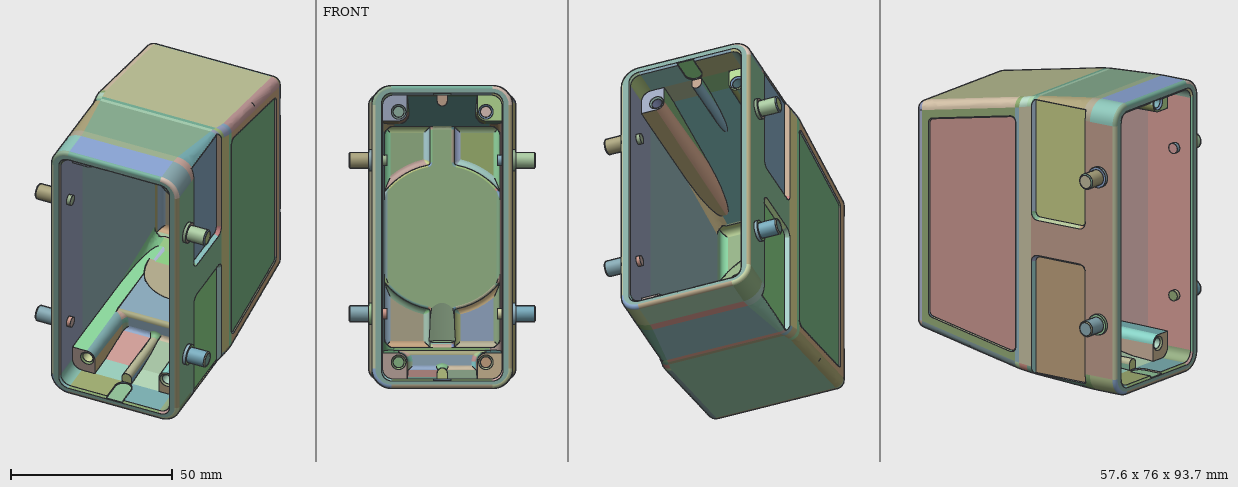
import cadquery as cq
import math

depth = 76.0
rim_half_width = 21.7
rim_half_height = 46.85
rim_corner = 6.1
rim_round = 1.1

skirt_end = 11.15
shoulder = 32.2
shoulder_half_height = 44.7
back_half_height = 36.2
back_half_width = 22.8
flare_end = 36.9
back_corner = 2.8
bend = 1.4
flare_bend = 0.75

lead_in = 0.7
cavity_half_width = 18.5
cavity_half_height = 43.85
cavity_back_half_width = 17.9
cavity_corner = 3.3
knee_y = 16.9
knee_half_height = 43.4
floor_y = 70.65
floor_round = 1.1

pocket_floor_y = 73.5
pocket_half_height = 34.1
pocket_round = 2.0
pad_radius = 22.7
pad_edge_round = 0.75
pad_half_width = cavity_back_half_width - floor_round
channel_half_width = 3.75
channel_low_z = -35.1
channel_top_z = -22.0
groove_radius = 15.0

boss_face_y = 9.4
boss_inner_x = 10.9
boss_inner_z = 35.9
boss_corner = 2.6
boss_draft = 1.0
screw_x = 13.5
screw_z = 38.7
screw_radius = 1.7
screw_mouth_radius = 2.25
screw_depth = 14.1
key_half_width = 1.6
key_tip_z = 40.5
relief_half_width = 2.7
relief_bottom_z = 44.3
ledge_face_y = 30.9
ledge_round = 1.4

pin_y = 6.4
pin_z = 23.7
pin_radius = 2.48
pin_end_x = 28.81
pin_chamfer = 0.4
collar_radius = 3.3
collar_end_x = back_half_width
stub_radius = 1.64
stub_end_x = 17.15

recess_depth = 1.4
recess_start_y = 11.6
recess_inner_z = 5.6
recess_outer_z = 44.7
recess_corner = 2.4
recess_draft = 30.0
panel_depth = 0.4
panel_start_y = 37.4
panel_end_y = 70.8
panel_margin = 5.3
panel_draft = 45.0
panel_corner = 1.9

edge_slack = 0.1

skirt_slope = (shoulder_half_height - rim_half_height) / (shoulder - skirt_end)
back_slope = (back_half_height - shoulder_half_height) / (depth - shoulder)
flare_slope = (back_half_width - rim_half_width) / (flare_end - shoulder)


def bent(y, bend_y, slope_change, half_length):
    """Offset from a straight line after a parabolic bend centred on bend_y."""
    past = y - bend_y
    if abs(past) < half_length:
        return slope_change * (past + half_length) ** 2 / (4 * half_length)
    return slope_change * max(past, 0)


def half_height(y):
    skirt_bend = bent(y, skirt_end, skirt_slope, bend)
    shoulder_bend = bent(y, shoulder, back_slope - skirt_slope, bend)
    return rim_half_height + skirt_bend + shoulder_bend


def half_width(y):
    flare = flare_slope * max(y - shoulder, 0)
    return rim_half_width + flare + bent(y, flare_end, -flare_slope, flare_bend)


def corner_radius(y):
    along = (y - skirt_end) / (shoulder - skirt_end)
    return rim_corner + (back_corner - rim_corner) * min(max(along, 0), 1)


def section(y, half_x, half_z, radius):
    outline = cq.Sketch().rect(2 * half_x, 2 * half_z).vertices().fillet(radius)
    return outline.moved(cq.Location(cq.Vector(0, 0, -y)))


def loft_sections(sections):
    return cq.Workplane("XZ").placeSketch(*sections).loft(ruled=True)


def xz_plane(y):
    return cq.Workplane("XZ", origin=(0, y, 0))


def mirrored_x(shape):
    return shape.union(shape.mirror("YZ"))


def mirrored_z(shape):
    return shape.union(shape.mirror("XY"))


def edges_at(y, half_x, low_z, high_z):
    """Selector for the edges lying at depth y, within half_x of the middle and between two heights."""
    low = (-half_x, y - edge_slack, low_z)
    high = (half_x, y + edge_slack, high_z)
    return cq.selectors.BoxSelector(low, high)


def make_shell():
    stations = [
        0,
        skirt_end - bend,
        skirt_end + bend,
        shoulder - bend,
        shoulder,
        shoulder + bend,
        flare_end - flare_bend,
        flare_end + flare_bend,
        depth,
    ]
    shell = loft_sections([section(y, half_width(y), half_height(y), corner_radius(y)) for y in stations])
    shell = shell.faces(">Y").edges().fillet(back_corner)
    return shell.faces("<Y").edges().fillet(rim_round)


def make_cavity():
    sections = [
        section(0, cavity_half_width + lead_in / 2, cavity_half_height + lead_in, cavity_corner),
        section(lead_in, cavity_half_width, cavity_half_height, cavity_corner),
        section(boss_face_y, cavity_half_width, cavity_half_height, cavity_corner),
        section(knee_y, cavity_half_width, knee_half_height, cavity_corner),
        section(floor_y, cavity_back_half_width, pocket_half_height, cavity_corner),
    ]
    cavity = loft_sections(sections)
    return cavity.faces(">Y").edges("|Z").fillet(floor_round)


def make_pocket():
    """One deep corner pocket of the floor, bounded by the round pad and the channel."""
    x_in = channel_half_width
    x_out = cavity_back_half_width
    z_in = math.sqrt(pad_radius**2 - x_in**2)
    z_out = math.sqrt(pad_radius**2 - x_out**2)
    mid = math.atan2(z_in + z_out, x_in + x_out)
    height = pocket_floor_y - floor_y + floor_round
    pocket = (
        xz_plane(pocket_floor_y)
        .moveTo(x_in, pocket_half_height)
        .lineTo(x_out, pocket_half_height)
        .lineTo(x_out, z_out)
        .threePointArc((pad_radius * math.cos(mid), pad_radius * math.sin(mid)), (x_in, z_in))
        .close()
        .extrude(height)
    )
    crest = cq.selectors.NearestToPointSelector((x_in, pocket_floor_y, z_in))
    pocket = pocket.edges("|Y").edges(crest).fillet(pad_edge_round)
    return pocket.faces(">Y").edges().fillet(pocket_round)


def make_groove():
    """Sloping round groove that sinks from the pad to the lower wall."""
    rise = channel_top_z - channel_low_z
    drop = pocket_floor_y - floor_y
    length = math.hypot(rise, drop)
    axis = cq.Vector(0, -drop / length, rise / length)
    start = cq.Vector(0, pocket_floor_y - groove_radius, channel_low_z)
    return cq.Workplane(obj=cq.Solid.makeCylinder(groove_radius, length, start, axis))


def make_boss():
    reach = 37.5
    boss = (
        xz_plane(boss_face_y)
        .center(boss_inner_x + reach / 2, boss_inner_z + reach / 2)
        .sketch()
        .rect(reach, reach)
        .vertices()
        .fillet(boss_corner)
        .finalize()
        .extrude(-(pocket_floor_y - boss_face_y), taper=-boss_draft)
    )
    return boss


def make_key():
    tip_centre = key_tip_z + key_half_width
    length = floor_y - boss_face_y
    web = xz_plane(boss_face_y).center(0, tip_centre + rim_corner / 2)
    web = web.rect(2 * key_half_width, rim_corner).extrude(-length)
    tip = xz_plane(boss_face_y).center(0, tip_centre).circle(key_half_width).extrude(-length)
    return web.union(tip)


def make_ledge():
    """Step on the lower wall between the bosses."""
    ledge = cq.Workplane("XY").box(
        2 * screw_x,
        floor_y - ledge_face_y,
        rim_half_height + channel_low_z,
        centered=(True, False, False),
    )
    ledge = ledge.edges("<Y and >Z").fillet(ledge_round)
    return ledge.translate((0, ledge_face_y, -rim_half_height))


def make_relief():
    """Shallow round-ended notch in the end wall, from the rim to the key."""
    length = boss_face_y - relief_half_width
    depth_z = relief_bottom_z - key_tip_z
    plane = cq.Workplane("XY", origin=(0, 0, key_tip_z))
    slot = plane.rect(2 * relief_half_width, 2 * length).extrude(depth_z)
    return slot.union(plane.center(0, length).circle(relief_half_width).extrude(depth_z))


def make_pin():
    plane = cq.Workplane("YZ", origin=(stub_end_x, pin_y, pin_z))
    stub = plane.circle(stub_radius).extrude(rim_half_width - stub_end_x)
    plane = cq.Workplane("YZ", origin=(rim_half_width - recess_depth, pin_y, pin_z))
    collar = plane.circle(collar_radius).extrude(collar_end_x - rim_half_width + recess_depth)
    pin = plane.circle(pin_radius).extrude(pin_end_x - rim_half_width + recess_depth)
    pin = pin.faces(">X").chamfer(pin_chamfer)
    return pin.union(collar).union(stub)


def make_screw_hole():
    hole = xz_plane(boss_face_y).center(screw_x, screw_z).circle(screw_radius).extrude(-screw_depth)
    mouth = cq.Solid.makeCone(
        screw_mouth_radius,
        screw_radius,
        screw_mouth_radius - screw_radius,
        cq.Vector(screw_x, boss_face_y, screw_z),
        cq.Vector(0, 1, 0),
    )
    return hole.union(cq.Workplane(obj=mouth))


def make_side_recess():
    """Drafted recess on the narrow side, running out over the tapered end."""
    length = shoulder - recess_start_y
    height = recess_outer_z - recess_inner_z
    outline = cq.Sketch().rect(length, height).vertices("<Y").fillet(recess_corner)
    plane = cq.Workplane("YZ", origin=(rim_half_width, 0, 0))
    plane = plane.center(recess_start_y + length / 2, recess_inner_z + height / 2)
    return plane.placeSketch(outline).extrude(-recess_depth, taper=recess_draft)


def make_side_panel():
    """Shallow panel that follows the tapered outline of the rear body."""
    start_z = half_height(panel_start_y) - panel_margin
    end_z = half_height(panel_end_y) - panel_margin
    corners = [
        (panel_start_y, -start_z),
        (panel_end_y, -end_z),
        (panel_end_y, end_z),
        (panel_start_y, start_z),
    ]
    outline = cq.Sketch().polygon([*corners, corners[0]]).vertices().fillet(panel_corner)
    plane = cq.Workplane("YZ", origin=(back_half_width, 0, 0))
    return plane.placeSketch(outline).extrude(-panel_depth, taper=panel_draft)


bosses = mirrored_z(mirrored_x(make_boss()))
keys = mirrored_z(make_key())
pockets = mirrored_z(mirrored_x(make_pocket()))
screw_holes = mirrored_z(mirrored_x(make_screw_hole()))
pins = mirrored_z(mirrored_x(make_pin()))
side_recesses = mirrored_z(mirrored_x(make_side_recess()))
side_panels = mirrored_x(make_side_panel())
reliefs = mirrored_z(make_relief())

ledge_root = edges_at(
    ledge_face_y,
    screw_x,
    -rim_half_height,
    channel_low_z - ledge_round - edge_slack,
)
pocket_flat_z = pocket_half_height - pocket_round
pad_rim = edges_at(floor_y, pad_half_width, -pocket_flat_z, pocket_flat_z)

hollow = make_cavity().cut(make_ledge()).cut(bosses).cut(keys)
hollow = hollow.edges(ledge_root).fillet(ledge_round)
hollow = hollow.union(pockets)
hollow = hollow.edges(pad_rim).fillet(pad_edge_round)
hollow = hollow.union(make_groove()).union(reliefs)

result = make_shell().cut(side_recesses).cut(side_panels).cut(hollow)
result = result.cut(screw_holes).union(pins)